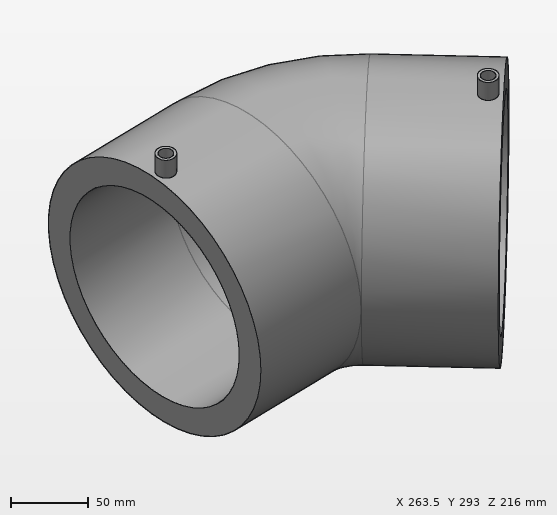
import cadquery as cq
import math

overall_length = 293.0
bend_angle = 45.0
outer_radius = 100.5
bore_radius = 80.0
throat_radius = 0.3
bend_radius = outer_radius + throat_radius

terminal_outer_radius = 7.0
terminal_bore_radius = 5.0
terminal_height = 15.0
terminal_inset = 10.0
terminal_embed = 3.0

bend_sine = math.sin(math.radians(bend_angle))
socket_length = (overall_length - (bend_radius + outer_radius) * bend_sine) / (1 + bend_sine)


def place_at_outlet(body):
    """Turn a body from the bend's inlet plane (Y = 0) to its outlet plane."""
    return body.rotate((bend_radius, 0, 0), (bend_radius, 0, 1), -bend_angle)


def elbow_body(radius):
    """Solid elbow: two straight sockets joined by a bend."""
    inlet = cq.Workplane("XZ").circle(radius).extrude(socket_length)
    outlet = place_at_outlet(cq.Workplane("XZ").circle(radius).extrude(-socket_length))
    bend = (
        cq.Workplane("XZ")
        .circle(radius)
        .revolve(bend_angle, (bend_radius, 3, 0), (bend_radius, 0, 0))
    )
    return inlet.union(bend).union(outlet)


def terminal_cylinder(y, radius, bottom):
    """Vertical cylinder on the pipe's centre plane, up to the terminal's top."""
    height = outer_radius + terminal_height - bottom
    return cq.Workplane("XY", origin=(0, y, bottom)).circle(radius).extrude(height)


def terminal(y):
    """Hollow terminal whose bore stops at the crown of the pipe."""
    post = terminal_cylinder(y, terminal_outer_radius, outer_radius - terminal_embed)
    return post.cut(terminal_cylinder(y, terminal_bore_radius, outer_radius))


terminal_offset = socket_length - terminal_inset
result = (
    elbow_body(outer_radius)
    .cut(elbow_body(bore_radius))
    .union(terminal(-terminal_offset))
    .union(place_at_outlet(terminal(terminal_offset)))
)